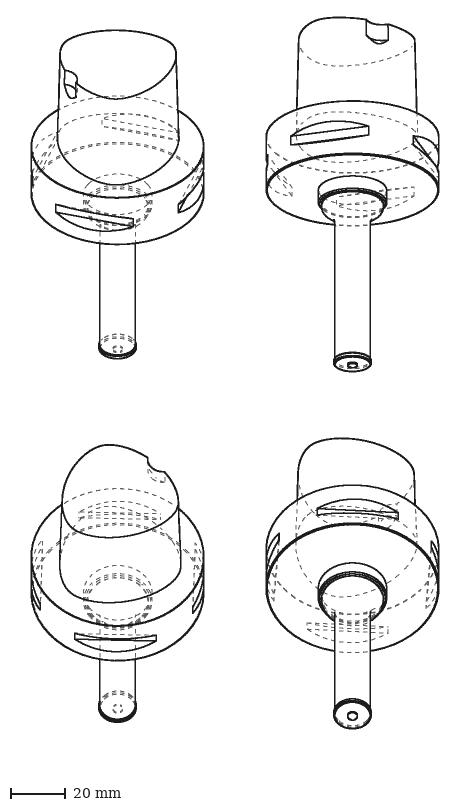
import cadquery as cq
import math

overall_height = 130

flange_radius = 63.0 / 2
flange_height = 21.5
flange_top_chamfer = 0.1
flange_bottom_chamfer = 0.4

shank_height = 38.2
shank_base_height = 3.1
shank_base_radius = 22.1
lobe_eccentricity = 1.5
taper_per_side = 1 / 40
curve_points = 48

notch_radius = 5.7
notch_wall_y = -17.3
notch_wall_depth = 6.4

groove_center_z = -11.7
groove_floor_radius = 27.8
groove_floor_height = 3.5
groove_wall_angle = 30
groove_count = 4

collar_radius = 25.0 / 2
collar_bottom_z = -26.9
collar_chamfer = 0.5

pin_radius = 13 / 2
seat_radius = 22.0 / 2
shoulder_radius = 22.6 / 2
shoulder_height = 1.0
waist_radius = 8.8
waist_z = -31.2
neck_bottom_z = -34.7
tip_top_z = -89.5
tip_bottom_z = -91.3
tip_radius = 13.6 / 2
tip_chamfer = 0.4
nub_radius = 3.6 / 2
pin_bottom_z = shank_height - overall_height


def lobed_wire(mean_radius, z):
    """Closed three-lobed curve with one lobe pointing to +Y."""
    points = []
    for i in range(curve_points):
        t = 2 * math.pi * i / curve_points
        across = mean_radius * math.sin(t) - lobe_eccentricity * (2 * math.sin(2 * t) + math.sin(4 * t))
        along = mean_radius * math.cos(t) + lobe_eccentricity * (2 * math.cos(2 * t) - math.cos(4 * t))
        points.append(cq.Vector(across, along, z))
    return cq.Wire.assembleEdges([cq.Edge.makeSpline(points, periodic=True)])


def make_shank():
    top_radius = shank_base_radius - taper_per_side * (shank_height - shank_base_height)
    bottom = lobed_wire(shank_base_radius, 0)
    middle = lobed_wire(shank_base_radius, shank_base_height)
    top = lobed_wire(top_radius, shank_height)
    base = cq.Solid.makeLoft([bottom, middle], True)
    taper = cq.Solid.makeLoft([middle, top], True)
    return cq.Workplane(base).union(cq.Workplane(taper))


def make_notch_cutter():
    """Vertical cylinder ending in a 45 degree cone."""
    wall_bottom_z = shank_height - notch_wall_depth
    profile = [
        (0, shank_height),
        (notch_radius, shank_height),
        (notch_radius, wall_bottom_z),
        (0, wall_bottom_z - notch_radius),
    ]
    cutter = cq.Workplane("XZ").polyline(profile).close().revolve(360, (0, 0), (0, 1))
    return cutter.translate((0, notch_wall_y - notch_radius, 0))


def make_groove_cutter():
    """Straight groove, narrow at its floor, on the +X side of the flange."""
    depth = flange_radius - groove_floor_radius
    floor_half = groove_floor_height / 2
    mouth_half = floor_half + depth * math.tan(math.radians(groove_wall_angle))
    profile = [
        (groove_floor_radius, -floor_half),
        (flange_radius, -mouth_half),
        (flange_radius, mouth_half),
        (groove_floor_radius, floor_half),
    ]
    cutter = cq.Workplane("XZ").polyline(profile).close().extrude(flange_radius, both=True)
    return cutter.translate((0, 0, groove_center_z))


def make_flange():
    flange = cq.Workplane("XY").circle(flange_radius).extrude(-flange_height)
    flange = flange.faces(">Z").chamfer(flange_top_chamfer)
    flange = flange.faces("<Z").chamfer(flange_bottom_chamfer)
    groove = make_groove_cutter()
    step = 360 / groove_count
    for i in range(groove_count):
        flange = flange.cut(groove.rotate((0, 0, 0), (0, 0, 1), (i + 0.5) * step))
    return flange


def make_collar():
    collar_height = -flange_height - collar_bottom_z
    collar = cq.Workplane("XY", origin=(0, 0, -flange_height)).circle(collar_radius).extrude(-collar_height)
    return collar.faces("<Z").chamfer(collar_chamfer)


def make_holder():
    holder = make_flange().union(make_shank()).union(make_collar())
    return holder.cut(make_notch_cutter())


def make_pin():
    """Revolved pin: chamfered shoulder, smooth S-shaped neck, stem, tip and nub."""
    shoulder_chamfer = shoulder_radius - seat_radius
    shoulder_bottom_z = collar_bottom_z - shoulder_height

    outline = cq.Workplane("XZ").moveTo(0, collar_bottom_z)
    outline = outline.lineTo(seat_radius, collar_bottom_z)
    outline = outline.lineTo(shoulder_radius, collar_bottom_z - shoulder_chamfer)
    outline = outline.lineTo(shoulder_radius, shoulder_bottom_z)
    outline = outline.spline(
        [(waist_radius, waist_z), (pin_radius, neck_bottom_z)],
        tangents=[(0, -1), (0, -1)],
        includeCurrent=True,
    )
    outline = outline.lineTo(pin_radius, tip_top_z)
    outline = outline.lineTo(tip_radius, tip_top_z - tip_chamfer)
    outline = outline.lineTo(tip_radius, tip_bottom_z + tip_chamfer)
    outline = outline.lineTo(tip_radius - tip_chamfer, tip_bottom_z)
    outline = outline.lineTo(nub_radius, tip_bottom_z).lineTo(nub_radius, pin_bottom_z)
    outline = outline.lineTo(0, pin_bottom_z).close()
    return outline.revolve(360, (0, 0), (0, 1))


holder = make_holder()
pin = make_pin()

result = cq.Compound.makeCompound([holder.val(), pin.val()])